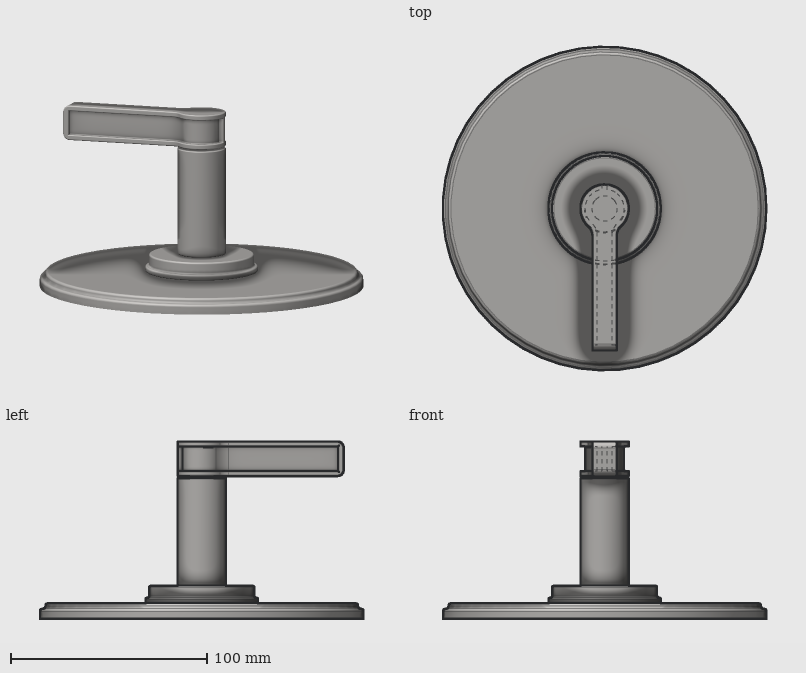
import cadquery as cq
import math

plate_radius = 82.5
plate_step_top = 5.1
plate_round = 1.4
plate_height = plate_step_top + 2 * plate_round

rosette_top = 16.8
flange_radius = 28.7
flange_top = 10.7
flange_foot_round = 0.5
rosette_round = 0.95

column_radius = 12.4
column_top = 71.7
column_round = 0.5
neck_radius = 6.5

handle_bottom = 72.6
handle_top = 90.5
hub_radius = column_radius
lever_half_width = 6.3
lever_length = 72.5
blend_radius = 6.1
lever_end_round = 3.5
handle_edge_round = 0.7

frame_wall = 2.6
end_wall = 3.0
pocket_depth = 2.5
pocket_floor_round = 0.5
pocket_mouth_round = 0.5
back_rib_half_width = 1.3

margin = 0.02

handle_height = handle_top - handle_bottom
pocket_height = handle_height - 2 * frame_wall
pocket_bottom = handle_bottom + frame_wall
pocket_end_y = end_wall - lever_length


def disc(radius, bottom, top):
    return cq.Workplane("XY").workplane(offset=bottom).circle(radius).extrude(top - bottom)


def block(x_min, x_max, y_min, y_max, bottom, height):
    return cq.Workplane("XY").box(
        x_max - x_min, y_max - y_min, height, centered=False
    ).translate((x_min, y_min, bottom))


def keyhole_prism(inset, bottom, height):
    """Prism of the keyhole-shaped hub and lever outline, with its sides pulled in by inset."""
    radius = hub_radius - inset
    half_width = lever_half_width - inset
    blend = blend_radius + inset
    blend_x = half_width + blend
    blend_y = -math.sqrt((radius + blend) ** 2 - blend_x**2)
    reach = radius / (radius + blend)
    tangent = (blend_x * reach, blend_y * reach)
    mid_angle = (math.atan2(tangent[1] - blend_y, tangent[0] - blend_x) + math.pi) / 2
    mid = (blend_x + blend * math.cos(mid_angle), blend_y + blend * math.sin(mid_angle))
    return (
        cq.Workplane("XY")
        .workplane(offset=bottom)
        .moveTo(*tangent)
        .threePointArc((0, radius), (-tangent[0], tangent[1]))
        .threePointArc((-mid[0], mid[1]), (-half_width, blend_y))
        .lineTo(-half_width, -lever_length)
        .lineTo(half_width, -lever_length)
        .lineTo(half_width, blend_y)
        .threePointArc(mid, tangent)
        .close()
        .extrude(height)
    )


def s_curve_disc(radius, bottom, step_top, straight, rounding):
    """Disc narrowing at step_top through a convex and a concave quarter round; above them stands
    a straight wall (none if 0) that ends in a convex quarter round."""
    step_radius = radius - 2 * rounding
    wall_foot = step_top + rounding
    wall_head = wall_foot + straight
    diagonal = rounding * math.sqrt(0.5)
    sag = rounding - diagonal
    profile = (
        cq.Workplane("XZ")
        .moveTo(0, bottom)
        .lineTo(radius, bottom)
        .lineTo(radius, step_top - rounding)
        .threePointArc((radius - sag, step_top - sag), (radius - rounding, step_top))
        .threePointArc((step_radius + sag, step_top + sag), (step_radius, wall_foot))
    )
    if straight > 0:
        profile = profile.lineTo(step_radius, wall_head)
    return (
        profile.threePointArc(
            (step_radius - sag, wall_head + diagonal), (step_radius - rounding, wall_head + rounding)
        )
        .lineTo(0, wall_head + rounding)
        .close()
        .revolve(360, (0, 0, 0), (0, 1, 0))
    )


def make_plate():
    return s_curve_disc(plate_radius, 0, plate_step_top, 0, plate_round)


def make_rosette():
    straight = rosette_top - flange_top - 2 * rosette_round
    rosette = s_curve_disc(flange_radius, plate_height, flange_top, straight, rosette_round)
    return rosette.faces("<Z").edges().fillet(flange_foot_round)


def make_column():
    column = disc(column_radius, rosette_top, column_top).edges().fillet(column_round)
    return column.union(disc(neck_radius, column_top, handle_bottom))


def make_pockets():
    """Both side pockets as cutters, with their floors rounded into the frame and the back rib."""
    clear = 2 * hub_radius
    pockets = block(-clear, clear, pocket_end_y, clear, pocket_bottom, pocket_height)
    core = keyhole_prism(pocket_depth, pocket_bottom, pocket_height)
    back_rib = block(-back_rib_half_width, back_rib_half_width, 0, clear, pocket_bottom, pocket_height)
    pockets = pockets.cut(core).cut(back_rib)
    near_core = cq.selectors.BoxSelector(
        (-hub_radius, -lever_length, 0), (hub_radius, clear - margin, handle_top)
    )
    return pockets.edges(near_core).edges("not |Z").fillet(pocket_floor_round)


def make_handle():
    handle = keyhole_prism(0, handle_bottom, handle_height)
    handle = handle.faces("<Y").edges("|X").fillet(lever_end_round)
    handle = handle.faces(">Z").edges("|Y").edges(">X").fillet(handle_edge_round)
    handle = handle.cut(make_pockets())
    mouth_edges = []
    for side_x in (-lever_half_width, lever_half_width):
        mouth_plane = cq.selectors.BoxSelector(
            (side_x - margin, pocket_end_y - margin, pocket_bottom - margin),
            (side_x + margin, 0, pocket_bottom + pocket_height + margin),
        )
        mouth_edges += handle.edges(mouth_plane).vals()
    return handle.newObject(mouth_edges).fillet(pocket_mouth_round)


result = make_plate().union(make_rosette()).union(make_column()).union(make_handle())